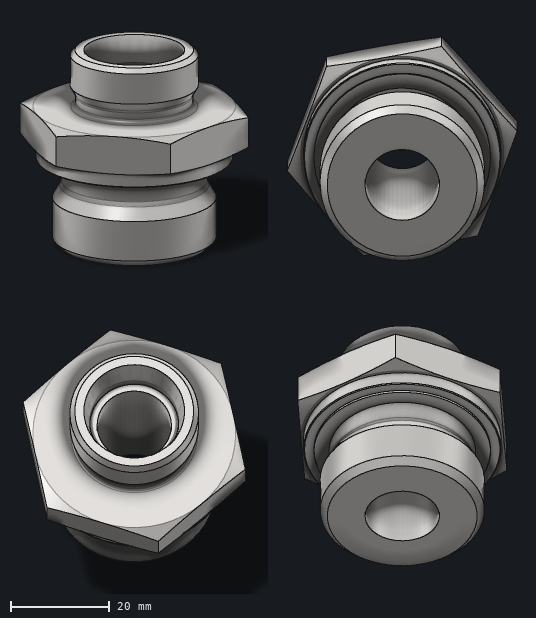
import cadquery as cq
import math

TOTAL_HEIGHT = 41.0
HEX_ACROSS_FLATS = 41.0
HEX_ACROSS_CORNERS = HEX_ACROSS_FLATS / math.cos(math.radians(30))
HEX_BOTTOM_Z = 21.0
HEX_TOP_Z = 29.0
HEX_CHAMFER_ANGLE = 15
FACE_CIRCLE_RADIUS = HEX_ACROSS_FLATS / 2

CONE_ANGLE = 30

TUBE_RADIUS = 26.0 / 2
TUBE_CHAMFER = 1.0
TUBE_LOWER_Z = 33.6
TUBE_NECK_RADIUS = 23.7 / 2
TUBE_NECK_FILLET = 1.0

STUD_RADIUS = 33.25 / 2
STUD_CHAMFER = 1.45
STUD_UPPER_Z = 9.85
STUD_NECK_RADIUS = 29.7 / 2
STUD_NECK_FILLET = 2.0

COLLAR_RADIUS = 39.9 / 2
COLLAR_BOTTOM_Z = 18.1
COLLAR_CHAMFER = 0.2

SEAL_RADIUS = 35.7 / 2
SEAL_BOTTOM_Z = 17.55
SEAL_HEIGHT = 2.0
SEAL_TOP_Z = SEAL_BOTTOM_Z + SEAL_HEIGHT

BORE_RADIUS = 15.0 / 2
SOCKET_RADIUS = 18 / 2
SOCKET_MOUTH_RADIUS = 20.35 / 2
SOCKET_TAPER_ANGLE = 12
SOCKET_DEPTH = 7.5


def revolve_profile(points):
    """Revolve a closed (radius, z) outline about the Z axis."""
    return cq.Workplane("XZ").polyline(points).close().revolve(360, (0, 0), (0, 1))


def ring(inner_radius, outer_radius, bottom_z, top_z):
    return (
        cq.Workplane("XY", origin=(0, 0, bottom_z))
        .circle(outer_radius)
        .circle(inner_radius)
        .extrude(top_z - bottom_z)
    )


def circular_edge(body, radius, z):
    """Select the circular edge of the given radius at height z."""
    tolerance = 0.005
    return body.edges(
        cq.selectors.BoxSelector(
            (-radius - tolerance, -radius - tolerance, z - tolerance),
            (radius + tolerance, radius + tolerance, z + tolerance),
            boundingbox=True,
        )
    )


def make_hexagon():
    """Hexagon with corners on the Y axis, its corners turned off conically at both ends."""
    height = HEX_TOP_Z - HEX_BOTTOM_Z
    prism = (
        cq.Workplane("XY", origin=(0, 0, HEX_BOTTOM_Z))
        .transformed(rotate=(0, 0, 90))
        .polygon(6, HEX_ACROSS_CORNERS)
        .extrude(height)
    )
    corner_radius = HEX_ACROSS_CORNERS / 2
    drop = (corner_radius - FACE_CIRCLE_RADIUS) * math.tan(math.radians(HEX_CHAMFER_ANGLE))
    envelope = revolve_profile([
        (0, HEX_BOTTOM_Z),
        (FACE_CIRCLE_RADIUS, HEX_BOTTOM_Z),
        (corner_radius, HEX_BOTTOM_Z + drop),
        (corner_radius, HEX_TOP_Z - drop),
        (FACE_CIRCLE_RADIUS, HEX_TOP_Z),
        (0, HEX_TOP_Z),
    ])
    return prism.intersect(envelope)


def make_turned_body():
    """Tube end, collar and stud end, with filleted relief necks."""
    cone_slope = math.tan(math.radians(CONE_ANGLE))
    tube_cone_z = TUBE_LOWER_Z - (TUBE_RADIUS - TUBE_NECK_RADIUS) / cone_slope
    stud_cone_z = STUD_UPPER_Z + (STUD_RADIUS - STUD_NECK_RADIUS) / cone_slope
    turned = revolve_profile([
        (0, 0),
        (STUD_RADIUS - STUD_CHAMFER, 0),
        (STUD_RADIUS, STUD_CHAMFER),
        (STUD_RADIUS, STUD_UPPER_Z),
        (STUD_NECK_RADIUS, stud_cone_z),
        (STUD_NECK_RADIUS, COLLAR_BOTTOM_Z),
        (COLLAR_RADIUS - COLLAR_CHAMFER, COLLAR_BOTTOM_Z),
        (COLLAR_RADIUS, COLLAR_BOTTOM_Z + COLLAR_CHAMFER),
        (COLLAR_RADIUS, HEX_TOP_Z),
        (TUBE_NECK_RADIUS, HEX_TOP_Z),
        (TUBE_NECK_RADIUS, tube_cone_z),
        (TUBE_RADIUS, TUBE_LOWER_Z),
        (TUBE_RADIUS, TOTAL_HEIGHT - TUBE_CHAMFER),
        (TUBE_RADIUS - TUBE_CHAMFER, TOTAL_HEIGHT),
        (0, TOTAL_HEIGHT),
    ])
    turned = circular_edge(turned, STUD_NECK_RADIUS, stud_cone_z).fillet(STUD_NECK_FILLET)
    turned = circular_edge(turned, TUBE_NECK_RADIUS, tube_cone_z).fillet(TUBE_NECK_FILLET)
    return circular_edge(turned, TUBE_NECK_RADIUS, HEX_TOP_Z).fillet(TUBE_NECK_FILLET)


def make_bore():
    """Through bore opening into a tapered socket at the top."""
    taper_slope = math.tan(math.radians(SOCKET_TAPER_ANGLE))
    taper_length = (SOCKET_MOUTH_RADIUS - SOCKET_RADIUS) / taper_slope
    socket_floor_z = TOTAL_HEIGHT - SOCKET_DEPTH
    return revolve_profile([
        (0, 0),
        (BORE_RADIUS, 0),
        (BORE_RADIUS, socket_floor_z),
        (SOCKET_RADIUS, socket_floor_z),
        (SOCKET_RADIUS, TOTAL_HEIGHT - taper_length),
        (SOCKET_MOUTH_RADIUS, TOTAL_HEIGHT),
        (0, TOTAL_HEIGHT),
    ])


def make_fitting():
    seal_recess = ring(STUD_NECK_RADIUS, SEAL_RADIUS, COLLAR_BOTTOM_Z, SEAL_TOP_Z)
    return make_turned_body().union(make_hexagon()).cut(make_bore()).cut(seal_recess)


def make_seal_ring():
    return ring(STUD_NECK_RADIUS, SEAL_RADIUS, SEAL_BOTTOM_Z, SEAL_TOP_Z)


fitting = make_fitting()
seal_ring = make_seal_ring()

result = cq.Compound.makeCompound([fitting.val(), seal_ring.val()])